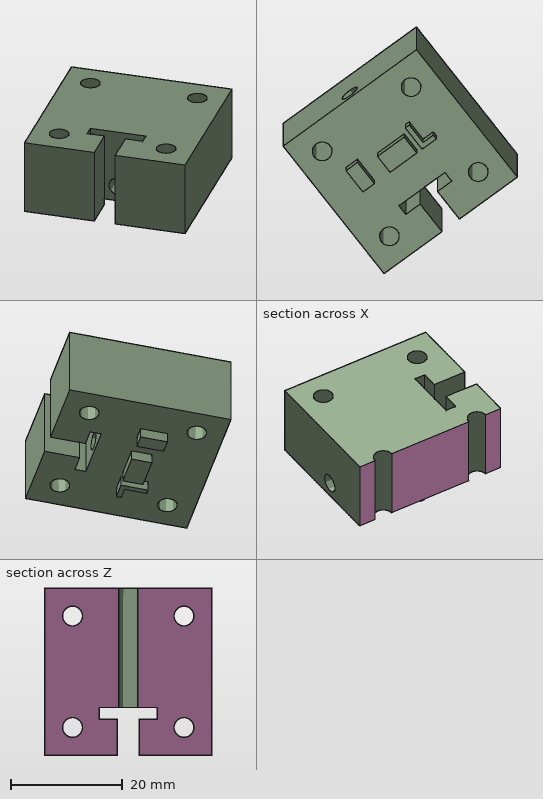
import cadquery as cq

side = 30.0
total_height = 16.0
pad_height = 2.0
block_height = total_height - pad_height

mount_hole_diameter = 3.5
mount_hole_inset = 5.0
mount_hole_spacing = side - 2 * mount_hole_inset

neck_width = 3.9
neck_depth = 6.5
head_width = 10.35
slot_depth = 8.55

cross_hole_diameter = 3.4
cross_hole_height = 2.95

pad_length = 5.0
low_pad_length = 3.75
bar_width = 0.9
foot_left = -8.1
foot_right = -4.92
middle_left = -3.72
middle_right = 2.28
end_left = 5.82
end_right = 8.4


def slot_box(width, start, end):
    """Full-height cutter centred on X, from start to end depth behind the -Y face."""
    return (
        cq.Workplane("XY")
        .box(width, end - start, block_height, centered=(True, False, False))
        .translate((0, start - side / 2, 0))
    )


def pad(left, right, length):
    """Rectangular pad hanging below the underside, starting at Y = 0."""
    return (
        cq.Workplane("XY")
        .box(right - left, length, pad_height, centered=False)
        .translate((left, 0, -pad_height))
    )


block = cq.Workplane("XY").box(side, side, block_height, centered=(True, True, False))

mount_holes = (
    cq.Workplane("XY")
    .rect(mount_hole_spacing, mount_hole_spacing, forConstruction=True)
    .vertices()
    .circle(mount_hole_diameter / 2)
    .extrude(block_height)
)

t_slot = slot_box(neck_width, 0, neck_depth).union(slot_box(head_width, neck_depth, slot_depth))

cross_hole = (
    cq.Workplane("XZ", origin=(0, side / 2, cross_hole_height))
    .circle(cross_hole_diameter / 2)
    .extrude(side)
)

result = block.cut(mount_holes).cut(t_slot).cut(cross_hole)

result = result.union(pad(foot_left, foot_right, bar_width))
result = result.union(pad(foot_right - bar_width, foot_right, pad_length))

result = result.union(pad(middle_left, middle_right, low_pad_length))
result = result.union(pad(end_left, end_right, pad_length))